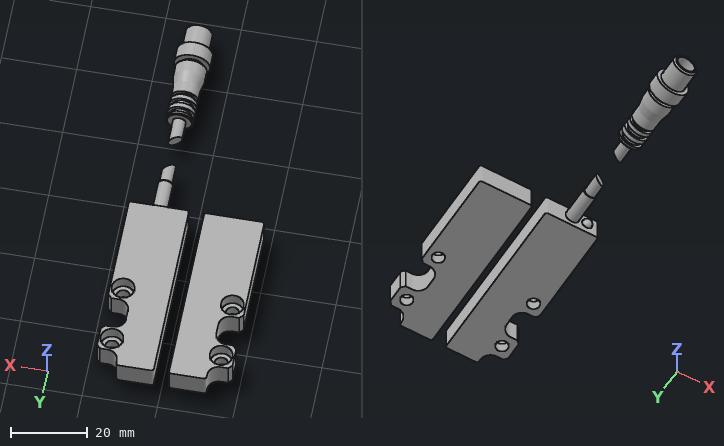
import cadquery as cq
import math

housing_length = 51.0
housing_width = 16.0
housing_height = 7.0
housing_gap = 4.0
housing_center_x = (housing_gap + housing_width) / 2
outer_x = housing_gap / 2 + housing_width
end_corner_radius = 0.7

hole_diameter = 3.5
counterbore_diameter = 6.0
counterbore_depth = 3.7
hole_edge_distance = 3.5
hole_x = outer_x - hole_edge_distance
first_hole_from_end = 8.0
hole_pitch = 16.0
hole_count = 2
hole_ys = [housing_length - first_hole_from_end - i * hole_pitch for i in range(hole_count)]
ear_half_length = 3.65
ear_chamfer = 1.0
notch_depth = 6.0
notch_radius = 3.0

lamp_radius = 1.5

cable_diameter = 3.5
sleeve_diameter = 4.0
sleeve_length = 9.2
cable_cut_angle = 28.5
cable_cut_rise = cable_diameter / 2 * math.tan(math.radians(cable_cut_angle))
housing_cable_length = 14.1
plug_cable_start = 22.9

plug_start = 29.0
plug_end = 57.8
plug_length = plug_end - plug_start
grip_radius = 3.6
groove_radius = 2.75
groove_starts = [1.0, 3.7, 6.3]
groove_lengths = [1.3, 1.3, 1.0]
ring_chamfer = 0.3
cone_start = 10.5
cone_end = 13.5
shoulder_radius = 4.2
shoulder_end = 16.8
neck_radius = 3.0
collar_start = 18.0
collar_end = 22.1
collar_radius = 4.8
nose_chamfer = 0.5
socket_radius = 2.6
socket_depth = 6.0


def cylinder(radius, start, end):
    """Cylinder on the cable axis, running toward -Y between two distances from the housing."""
    return (
        cq.Workplane("XZ", origin=(housing_center_x, -start, 0))
        .circle(radius)
        .extrude(end - start)
    )


def notch(y_low, y_high):
    """Cutter for an outer-edge notch with rounded inner corners."""
    floor_x = outer_x - notch_depth
    box = cq.Workplane("XY").box(2 * notch_depth, y_high - y_low, housing_height)
    box = box.edges("|Z and <X").fillet(notch_radius)
    return box.translate((floor_x + notch_depth, (y_low + y_high) / 2, 0))


def housing():
    """Block on the +X side with two mounting ears, counterbored from above."""
    block = (
        cq.Workplane("XY")
        .box(housing_width, housing_length, housing_height)
        .translate((housing_center_x, housing_length / 2, 0))
    )
    first_y, second_y = hole_ys
    block = block.cut(notch(first_y + ear_half_length, housing_length + notch_radius))
    block = block.cut(notch(second_y + ear_half_length, first_y - ear_half_length))
    ear_edges = cq.selectors.BoxSelector(
        (outer_x - ear_chamfer, second_y, -housing_height),
        (outer_x + ear_chamfer, housing_length, housing_height),
    )
    block = block.edges("|Z").edges(ear_edges).chamfer(ear_chamfer)
    block = block.edges("|Z and (<Y or >Y)").fillet(end_corner_radius)
    return (
        block.faces(">Z")
        .workplane(origin=(0, 0, 0))
        .pushPoints([(hole_x, y) for y in hole_ys])
        .cboreHole(hole_diameter, counterbore_diameter, counterbore_depth)
    )


def oblique_half_space(distance):
    """Large block on the -Y side of the oblique cable cut at this distance."""
    size = plug_end
    return (
        cq.Workplane("XY")
        .box(size, size, size)
        .translate((0, -size / 2, 0))
        .rotate((0, 0, 0), (0, 0, 1), cable_cut_angle)
        .translate((housing_center_x, -distance, 0))
    )


def sensor():
    """Housing with its cable sleeve, cable stub and lamp."""
    lamp = cq.Workplane("XY").sphere(lamp_radius).translate((hole_x, 0, 0))
    sleeve = cylinder(sleeve_diameter / 2, 0, sleeve_length)
    cable = cylinder(cable_diameter / 2, 0, housing_cable_length + cable_cut_rise)
    cable = cable.cut(oblique_half_space(housing_cable_length))
    return housing().union(lamp).union(sleeve).union(cable)


def plug():
    """Ringed grip, cone, collar and hollow nose on the far end of the cable."""
    profile = [(0, 0), (grip_radius - ring_chamfer, 0), (grip_radius, ring_chamfer)]
    for start, length in zip(groove_starts, groove_lengths):
        profile += [
            (grip_radius, start),
            (groove_radius, start),
            (groove_radius, start + length),
            (grip_radius, start + length),
        ]
    profile += [
        (grip_radius, cone_start),
        (shoulder_radius, cone_end),
        (shoulder_radius, shoulder_end),
        (neck_radius, shoulder_end),
        (neck_radius, collar_start),
        (collar_radius, collar_start),
        (collar_radius, collar_end),
        (grip_radius, collar_end),
        (grip_radius, plug_length - nose_chamfer),
        (grip_radius - nose_chamfer, plug_length),
        (socket_radius, plug_length),
        (socket_radius, plug_length - socket_depth),
        (0, plug_length - socket_depth),
    ]
    body = (
        cq.Workplane("XY")
        .polyline([(radius, -along) for radius, along in profile])
        .close()
        .revolve(360, (0, 0, 0), (0, 1, 0))
        .translate((housing_center_x, -plug_start, 0))
    )
    cable = cylinder(cable_diameter / 2, plug_cable_start - cable_cut_rise, plug_start)
    cable = cable.intersect(oblique_half_space(plug_cable_start))
    return body.union(cable)


magnet_housing = housing().mirror("YZ")
sensor_housing = sensor()
cable_plug = plug()

result = cq.Compound.makeCompound([magnet_housing.val(), sensor_housing.val(), cable_plug.val()])